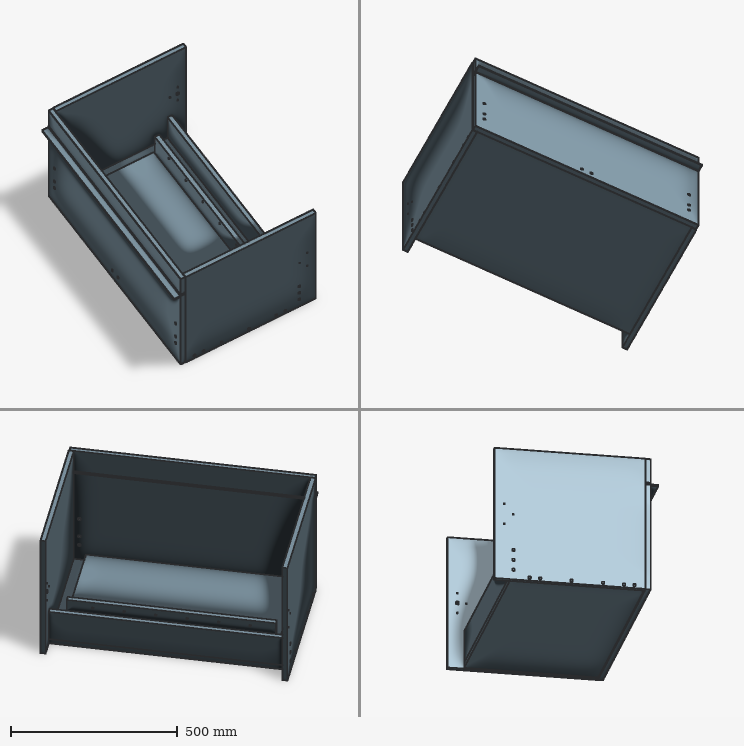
import cadquery as cq

width = 753.0
height = 420.0
total_depth = 499.0
board = 16.0

side_depth = 459.0
inner_width = width - 2 * board
rail_setback = 50.0
rail_top = 120.0
floor_bottom = 2.0
floor_top = floor_bottom + board
floor_depth = side_depth - rail_setback

drawer_bottom = 22.0
drawer_top = 118.0
drawer_floor_width = 648.0
drawer_floor_depth = 324.5
drawer_back_width = 638.0

front_gap = 1.5
front_width = 750.0
front_top = 336.5
fascia_bottom = 344.0
front_edge_chamfer = 1.0
front_inner_y = -front_gap
front_outer_y = front_inner_y - board
drawer_back_y = front_inner_y + drawer_floor_depth

handle_front_y = side_depth - total_depth
tab_top = 342.0
grip_top = 339.0
grip_bottom = 333.5

hole_pitch = 320.0 / 10
blind_skin = 2.0
blind_depth = board - blind_skin
dowel_diameter = 8.0
screw_diameter = 3.0
hanger_diameter = 10.0
hanger_depth = board / 2
back_hole_diameter = 5.0

hanger_y = side_depth - 29.0
hanger_z = height / 2
hanger_screw_y = side_depth - 56.5
rail_y = side_depth - rail_setback - board
first_rail_dowel_z = 32.0
first_floor_dowel_y = 32.5
floor_dowel_steps = [0, 1, 3, 6, 9, 10]
fitting_x = 344.0
first_fitting_z = 71.0
fitting_steps = [0, 1, 3]
back_hole_z = 98.0
back_hole_spacing = 3 * hole_pitch
back_hole_count = 6


def board_box(size_x, y_range, z_range):
    """A plain board centred on X = 0 that fills the given (low, high) ranges in Y and Z."""
    size_y = y_range[1] - y_range[0]
    size_z = z_range[1] - z_range[0]
    box = cq.Workplane("XY").box(size_x, size_y, size_z, centered=(True, False, False))
    return box.translate((0, y_range[0], z_range[0]))


def x_drills(diameter, yz_points, start_x, depth):
    """Cylinders that start at start_x and run toward +X."""
    plane = cq.Workplane("YZ", origin=(start_x, 0, 0))
    return plane.pushPoints(yz_points).circle(diameter / 2).extrude(depth)


def y_drills(diameter, xz_points, start_y, depth):
    """Cylinders that start at start_y and run toward -Y."""
    plane = cq.Workplane("XZ", origin=(0, start_y, 0))
    return plane.pushPoints(xz_points).circle(diameter / 2).extrude(depth)


def make_right_side():
    """Side board on +X, drilled from its inner face."""
    inner_x = inner_width / 2
    side = board_box(board, (0, side_depth), (0, height)).translate((inner_x + board / 2, 0, 0))

    screws = [(hanger_y, hanger_z + step * hole_pitch) for step in (-1, 1)]
    screws.append((hanger_screw_y, hanger_z))
    side = side.cut(x_drills(screw_diameter, screws, inner_x, blind_depth))
    side = side.cut(x_drills(hanger_diameter, [(hanger_y, hanger_z)], inner_x, hanger_depth))

    rail_dowels = [(rail_y + board / 2, first_rail_dowel_z + step * hole_pitch) for step in range(3)]
    floor_dowel_z = floor_bottom + board / 2
    floor_dowels = [(first_floor_dowel_y + step * hole_pitch, floor_dowel_z) for step in floor_dowel_steps]
    return side.cut(x_drills(dowel_diameter, rail_dowels + floor_dowels, inner_x, blind_depth))


def make_front_board(bottom, top):
    """Part of a full-height front with broken outer edges; edges along the handle gap stay square."""
    y_range = (front_outer_y, front_inner_y)
    full_front = board_box(front_width, y_range, (0, height))
    full_front = full_front.faces("<Y").edges().chamfer(front_edge_chamfer)
    return full_front.intersect(board_box(front_width, y_range, (bottom, top)))


def make_drawer_front():
    """Lower front board, drilled from behind for the drawer sides and the drawer floor."""
    front = make_front_board(0, front_top)
    fittings = [
        (side * fitting_x, first_fitting_z + step * hole_pitch)
        for side in (-1, 1)
        for step in fitting_steps
    ]
    floor_dowels = [(side * hole_pitch / 2, drawer_bottom + board / 2) for side in (-1, 1)]
    return front.cut(y_drills(dowel_diameter, fittings + floor_dowels, front_inner_y, blind_depth))


def make_drawer_back():
    """Drawer back with a row of through holes."""
    rear_y = drawer_back_y + board
    back = board_box(drawer_back_width, (drawer_back_y, rear_y), (drawer_bottom, drawer_top))
    middle = (back_hole_count - 1) / 2
    holes = [((i - middle) * back_hole_spacing, back_hole_z) for i in range(back_hole_count)]
    return back.cut(y_drills(back_hole_diameter, holes, rear_y, board))


def make_handle():
    """Full-width strip: a tab in the gap between the front boards and a lower grip outside it."""
    tab = board_box(front_width, (front_outer_y, front_inner_y), (front_top, tab_top))
    grip = board_box(front_width, (handle_front_y, front_outer_y), (grip_bottom, grip_top))
    return tab.union(grip)


right_side = make_right_side()
left_side = right_side.mirror("YZ")
rail = board_box(inner_width, (rail_y, rail_y + board), (floor_top, rail_top))
cabinet_floor = board_box(inner_width, (0, floor_depth), (floor_bottom, floor_top))
drawer_floor = board_box(
    drawer_floor_width, (front_inner_y, drawer_back_y), (drawer_bottom, drawer_bottom + board)
)
drawer_back = make_drawer_back()
drawer_front = make_drawer_front()
fascia = make_front_board(fascia_bottom, height)
handle = make_handle()

result = cq.Compound.makeCompound([
    right_side.val(),
    left_side.val(),
    rail.val(),
    cabinet_floor.val(),
    drawer_floor.val(),
    drawer_back.val(),
    drawer_front.val(),
    fascia.val(),
    handle.val(),
])